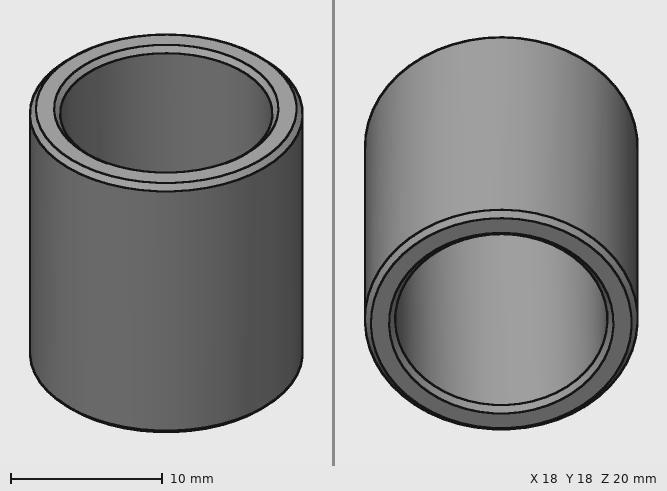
import cadquery as cq

length = 20.0
outer_diameter = 18.0
bore_diameter = 14.0
edge_chamfer = 0.4

tube = (
    cq.Workplane("XY")
    .circle(outer_diameter / 2)
    .circle(bore_diameter / 2)
    .extrude(length)
)

result = tube.faces("<Z or >Z").edges().chamfer(edge_chamfer)